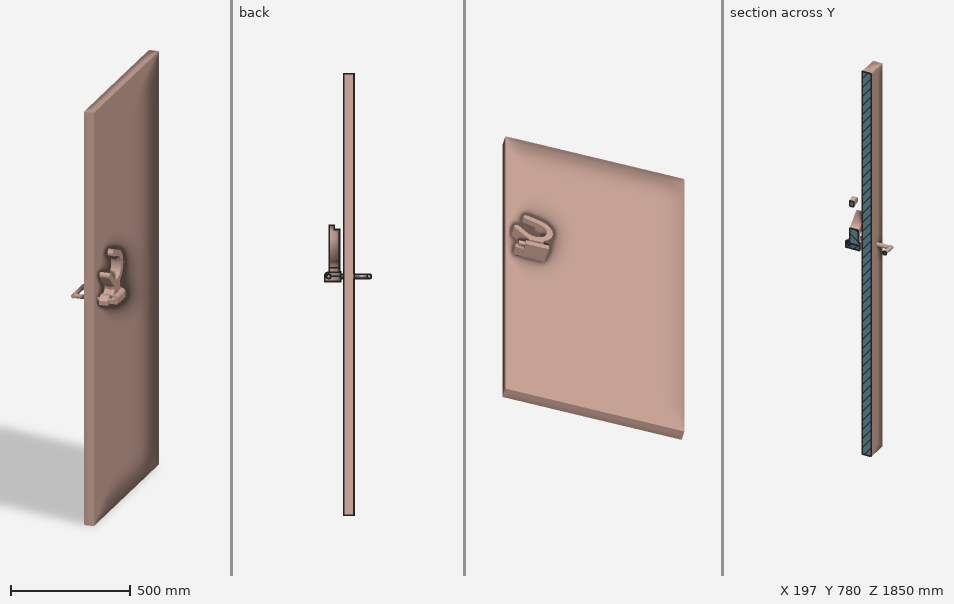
import cadquery as cq
import math


DOOR_THICKNESS = 45.0
DOOR_WIDTH = 780.0
DOOR_HEIGHT = 1850.0

LEVER_DIAMETER = 18.0
LEVER_PROJECTION = 72.0
LEVER_AXIS_Y = 48.0
LEVER_AXIS_Z = 1000.0
LEVER_TIP_Y = 166.0
GRIP_AXIS_X = DOOR_THICKNESS + LEVER_PROJECTION - LEVER_DIAMETER / 2

CLAMP_START_X = DOOR_THICKNESS + 11.0
CLAMP_RADIUS = 17.0
CLAMP_END_X = GRIP_AXIS_X + CLAMP_RADIUS
COLLAR_SIZE = 18.0
COLLAR_LENGTH = 39.0
COLLAR_START_Y = LEVER_AXIS_Y - COLLAR_SIZE
CLAMP_START_Y = LEVER_AXIS_Y + COLLAR_SIZE
CLAMP_LENGTH = LEVER_TIP_Y - CLAMP_START_Y
LOWER_CLAMP_DEPTH = 22.0

HOOK_START_X = DOOR_THICKNESS + 17.0
HOOK_WIDTH = 45.0
FINGER_WIDTH = HOOK_WIDTH / 2
HOOK_THICKNESS = 25.0
HOOK_RADIUS = 63.0
HOOK_CENTER_Y = 113.0
HOOK_CENTER_Z = LEVER_AXIS_Z + 124.0
HOOK_END_Y = 133.0
HOOK_END_RISE = math.sqrt(HOOK_RADIUS**2 - (HOOK_END_Y - HOOK_CENTER_Y) ** 2)
HOOK_END_Z = HOOK_CENTER_Z + HOOK_END_RISE
LIP_SLOPE = math.radians(45)
LIP_LENGTH = 50.0
FINGER_TIP_Y = 74.0
FINGER_TIP_Z = LEVER_AXIS_Z + 202.0

NECK_FLARE = 18.0
NECK_FILLET = 18.0


def make_door():
    return cq.Workplane("XY").box(DOOR_THICKNESS, DOOR_WIDTH, DOOR_HEIGHT, centered=False)


def make_lever(face_x, outward):
    """Round shank from the door face into the side of a flat-ended grip; outward is +1 or -1 along X."""
    grip_x = face_x + outward * (LEVER_PROJECTION - LEVER_DIAMETER / 2)
    shank = (
        cq.Workplane("YZ", origin=(face_x, LEVER_AXIS_Y, LEVER_AXIS_Z))
        .circle(LEVER_DIAMETER / 2)
        .extrude(grip_x - face_x)
    )
    grip = (
        cq.Workplane("XZ", origin=(grip_x, LEVER_TIP_Y, LEVER_AXIS_Z))
        .circle(LEVER_DIAMETER / 2)
        .extrude(LEVER_TIP_Y - (LEVER_AXIS_Y - LEVER_DIAMETER / 2))
    )
    return shank.union(grip)


def block(x_range, y_range, z_range):
    """Box between the given limits on each axis."""
    corner = (x_range[0], y_range[0], z_range[0])
    sizes = [end - start for start, end in (x_range, y_range, z_range)]
    return cq.Workplane("XY", origin=corner).box(*sizes, centered=False)


def make_lower_clamp(lever):
    """Square-edged half with a shallower step in front, under the shank."""
    grip_part = block(
        (CLAMP_START_X, CLAMP_END_X),
        (CLAMP_START_Y, LEVER_TIP_Y),
        (LEVER_AXIS_Z - LOWER_CLAMP_DEPTH, LEVER_AXIS_Z),
    )
    shank_part = block(
        (CLAMP_START_X, CLAMP_START_X + COLLAR_LENGTH),
        (COLLAR_START_Y, CLAMP_START_Y),
        (LEVER_AXIS_Z - COLLAR_SIZE, LEVER_AXIS_Z),
    )
    return grip_part.union(shank_part).cut(lever)


def make_upper_clamp():
    """Flat-topped grip half with a rounded outer side, and a collar with a sloping front over the shank."""
    grip_part = (
        cq.Workplane("XZ", origin=(0, LEVER_TIP_Y, LEVER_AXIS_Z))
        .moveTo(CLAMP_START_X, 0)
        .lineTo(CLAMP_END_X, 0)
        .radiusArc((GRIP_AXIS_X, CLAMP_RADIUS), -CLAMP_RADIUS)
        .lineTo(CLAMP_START_X, CLAMP_RADIUS)
        .close()
        .extrude(CLAMP_LENGTH)
    )
    collar = (
        cq.Workplane("YZ", origin=(CLAMP_START_X, 0, LEVER_AXIS_Z))
        .moveTo(COLLAR_START_Y, 0)
        .lineTo(LEVER_AXIS_Y, COLLAR_SIZE)
        .lineTo(CLAMP_START_Y, COLLAR_SIZE)
        .lineTo(CLAMP_START_Y, 0)
        .close()
        .extrude(COLLAR_LENGTH)
    )
    return grip_part.union(collar)


def make_hook_arm():
    """Full-width C, open towards -Y, with round ends and a straight lip sloping up and out."""
    lip_root_y = HOOK_CENTER_Y - HOOK_RADIUS * math.sin(LIP_SLOPE)
    lip_root_z = HOOK_CENTER_Z - HOOK_RADIUS * math.cos(LIP_SLOPE)
    lip_tip_y = lip_root_y - LIP_LENGTH * math.cos(LIP_SLOPE)
    lip_tip_z = lip_root_z + LIP_LENGTH * math.sin(LIP_SLOPE)
    center_line = (
        cq.Workplane("YZ", origin=(HOOK_START_X, 0, 0))
        .moveTo(lip_tip_y, lip_tip_z)
        .lineTo(lip_root_y, lip_root_z)
        .threePointArc((HOOK_CENTER_Y + HOOK_RADIUS, HOOK_CENTER_Z), (HOOK_END_Y, HOOK_END_Z))
    )
    return center_line.offset2D(HOOK_THICKNESS / 2).extrude(HOOK_WIDTH)


def make_finger():
    """Half-width continuation of the hook, tangent to its upper end."""
    tangent = (-HOOK_END_RISE, HOOK_END_Y - HOOK_CENTER_Y)
    start = cq.Vector(HOOK_END_Y, HOOK_END_Z)
    tip = cq.Vector(FINGER_TIP_Y, FINGER_TIP_Z)
    arc = cq.Edge.makeTangentArc(start, cq.Vector(*tangent), tip)
    outline = cq.Wire.assembleEdges([arc]).offset2D(HOOK_THICKNESS / 2)[0]
    plane = cq.Workplane("YZ", origin=(HOOK_START_X + HOOK_WIDTH - FINGER_WIDTH, 0, 0))
    return plane.newObject([outline.moved(plane.plane.location)]).toPending().extrude(FINGER_WIDTH)


def make_neck():
    """Upright web under the hook, flared at its foot to the full length of the clamp."""
    web_start_y = CLAMP_START_Y + NECK_FLARE
    web_end_y = LEVER_TIP_Y - NECK_FLARE
    clamp_top_z = LEVER_AXIS_Z + CLAMP_RADIUS
    flare_top_z = clamp_top_z + NECK_FLARE
    web_top_z = HOOK_CENTER_Z - HOOK_RADIUS
    outline = [
        (CLAMP_START_Y, clamp_top_z),
        (LEVER_TIP_Y, clamp_top_z),
        (web_end_y, flare_top_z),
        (web_end_y, web_top_z),
        (web_start_y, web_top_z),
        (web_start_y, flare_top_z),
    ]
    return cq.Workplane("YZ", origin=(HOOK_START_X, 0, 0)).polyline(outline).close().extrude(HOOK_WIDTH)


def make_hook():
    """Arm on its neck, with the corners between them rounded, and the finger."""
    hook = make_hook_arm().union(make_neck())
    corner_start = (HOOK_START_X, CLAMP_START_Y, HOOK_CENTER_Z - HOOK_RADIUS - HOOK_THICKNESS / 2)
    corner_end = (HOOK_START_X + HOOK_WIDTH, LEVER_TIP_Y, HOOK_CENTER_Z - HOOK_RADIUS)
    corners = hook.edges("|X").edges(cq.selectors.BoxSelector(corner_start, corner_end))
    return corners.fillet(NECK_FILLET).union(make_finger())


def make_opener(lever):
    """Hook, neck and upper clamp half in one piece."""
    return make_upper_clamp().cut(lever).union(make_hook())


door = make_door()
levers = [make_lever(face_x, outward) for face_x, outward in ((0, -1), (DOOR_THICKNESS, 1))]
inner_lever = levers[1]
opener = make_opener(inner_lever)
lower_clamp = make_lower_clamp(inner_lever)

result = cq.Compound.makeCompound(
    [door.val(), *[lever.val() for lever in levers], opener.val(), lower_clamp.val()]
)